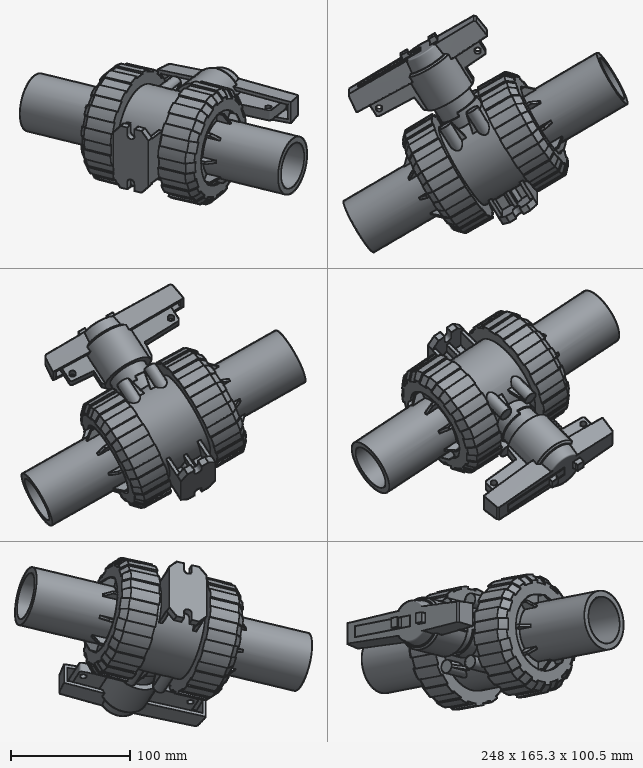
import cadquery as cq
import math


LENGTH = 248.0
PIPE_DIA = 50.0
BORE_DIA = 39.7
RIB_COUNT = 8
RIB_THICKNESS = 2.5
RIB_OUTER_R = 31.7
RIB_FOOT_X = 64.5
RIB_SHOULDER_X = 57.5

BODY_DIA = 76.1
NUT_INNER_X = 22.8
NUT_OUTER_X = 54.3
NUT_CHAMFER_X = 48.5
NUT_HOLE_DIA = 65.0
NUT_RECESS_DEPTH = 2.5
GRIP_COUNT = 16
GRIP_SLOT_WIDTH = 9.7
GRIP_SPAN = 100.5
GRIP_R = math.hypot(GRIP_SPAN, GRIP_SLOT_WIDTH) / 2
GRIP_CHAMFER_R = 50.0
GRIP_END_R = 44.5
SLOT_FLOOR_R = 48.5
SLOT_FLOOR_END_R = 42.2

STEM_DIA = 35.0
STEM_BASE_DIA = 38.5
STEM_BASE_Y = 42.5
STOP_Y = 46.0
BOSS_DIA = 11.5
BOSS_X = 13.1
BOSS_Z = 26.5
BOSS_TOP_Y = 43.6
GUSSET_THICKNESS = 2.5
GUSSET_FRONT_Z = 28.0
GUSSET_TOE_X = 3.2
GUSSET_TOE_Y = 25.8
GUSSET_ROOT_Y = 22.3

HUB_DIA = 44.6
HUB_BOTTOM_Y = 57.5
HUB_TOP_Y = 93.2
HUB_CHAMFER = 1.7
CAP_BOTTOM_R = 19.3
CAP_TOP_R = 17.5
CAP_FILLET = 1.2
HANDLE_TOP_Y = 104.7
BAR_LEFT_X = -54.8
BAR_RIGHT_X = 73.0
BAR_END_DRAFT = 1.5
BAR_END_LIP = 1.7
BAR_END_Y = 87.8
BAR_MID_Y = 85.8
BAR_END_TOP_HALF = 8.7
BAR_END_RIM_HALF = 10.0
BAR_MID_TOP_HALF = 11.2
BAR_MID_RIM_HALF = 13.0
BAR_WALL = 3.0
BAR_TOP_CORNER = 1.5

WING_THICKNESS = 9.5
WING_LEFT_X = -46.0
WING_RIGHT_X = 61.0
WING_TIP_Y = 74.2
WING_ROOT_Y = 72.7
WING_TOP_Y = 105.5
SKIRT_LEFT_X = -24.3
SKIRT_RIGHT_X = 24.3
SKIRT_SLANT = 1.5
WING_CORNER = 2.0
WING_HOLE_DIA = 5.5
WING_HOLE_Y = 79.9
WING_HOLE_INSET = 5.2

LUG_OUTER_X = 16.9
LUG_TOP_WIDTH = 6.5
LUG_FOOT_WIDTH = 8.0
LUG_TOP_Y = 109.5
LUG_SPLAY_Y = 107.5
LUG_THICKNESS = 8.5

FOOT_BOTTOM_Y = -55.8
FOOT_THICKNESS = 6.2
FOOT_HALF_X = 16.9
FOOT_HALF_Z = 28.8
FOOT_CORNER_X = 6.7
FOOT_CORNER_Z = 7.5
FOOT_SLOT_WIDTH = 7.0
FOOT_SLOT_DEPTH = 10.0
FOOT_WALL = 3.2
FOOT_WALL_HALF_Z = 20.5
FOOT_RIB_HALF_Z = 15.1
FOOT_PILLAR_DIA = 11.7


def rod_x(dia, x_start, x_end):
    return cq.Workplane("YZ").workplane(offset=x_start).circle(dia / 2).extrude(x_end - x_start)


def rod_y(dia, y_start, y_end, x=0.0, z=0.0):
    base = cq.Workplane("XZ", origin=(x, y_start, z))
    return base.circle(dia / 2).extrude(y_start - y_end)


def block(x_range, y_range, z_range):
    size = [high - low for low, high in (x_range, y_range, z_range)]
    corner = (x_range[0], y_range[0], z_range[0])
    return cq.Workplane("XY").box(*size, centered=False).translate(corner)


def revolve_x(points):
    """Turn an (x, radius) outline about the pipe axis."""
    return cq.Workplane("XY").polyline(points).close().revolve(360, (0, 0, 0), (1, 0, 0))


def plate_xy(points, thickness):
    """Plate with an XY outline, centred on Z = 0."""
    return cq.Workplane("XY").polyline(points).close().extrude(thickness / 2, both=True)


def nut_blank(inner_r, chamfer_r, outer_r):
    return revolve_x([
        (NUT_INNER_X, 0),
        (NUT_INNER_X, inner_r),
        (NUT_CHAMFER_X, chamfer_r),
        (NUT_OUTER_X, outer_r),
        (NUT_OUTER_X, 0),
    ])


def make_nut():
    """Union nut on the +X side with gripping teeth and a recessed end face."""
    teeth = nut_blank(GRIP_R, GRIP_CHAMFER_R, GRIP_END_R)
    slot = block(
        (NUT_INNER_X - 2.5, NUT_OUTER_X + 2.5),
        (-GRIP_SLOT_WIDTH / 2, GRIP_SLOT_WIDTH / 2),
        (BODY_DIA / 2, GRIP_R + 2.5),
    )
    for i in range(GRIP_COUNT):
        teeth = teeth.cut(slot.rotate((0, 0, 0), (1, 0, 0), i * 360 / GRIP_COUNT))
    nut = teeth.union(nut_blank(SLOT_FLOOR_R, SLOT_FLOOR_R, SLOT_FLOOR_END_R))
    return nut.cut(rod_x(NUT_HOLE_DIA, NUT_OUTER_X - NUT_RECESS_DEPTH, NUT_OUTER_X + 2.5))


def make_connector():
    """Pipe stub on the +X side with sloped ribs running into the nut."""
    stub = rod_x(PIPE_DIA, 0, LENGTH / 2)
    rib_root_r = (PIPE_DIA + BORE_DIA) / 4
    rib = plate_xy([
        (NUT_INNER_X, rib_root_r),
        (NUT_INNER_X, RIB_OUTER_R),
        (RIB_SHOULDER_X, RIB_OUTER_R),
        (RIB_FOOT_X, PIPE_DIA / 2),
        (RIB_FOOT_X, rib_root_r),
    ], RIB_THICKNESS)
    for i in range(RIB_COUNT):
        stub = stub.union(rib.rotate((0, 0, 0), (1, 0, 0), i * 360 / RIB_COUNT))
    return stub


def make_stem():
    """Stem with its stop collar and the four bosses of the actuator pad."""
    stem = rod_y(STEM_BASE_DIA, 0, STEM_BASE_Y)
    stem = stem.union(rod_y(STEM_DIA, 0, HUB_BOTTOM_Y))
    stop_disc = rod_y(STEM_BASE_DIA, STEM_BASE_Y, STOP_Y)
    for side in (0, -1):
        span = (side * STEM_BASE_DIA, (side + 1) * STEM_BASE_DIA)
        stem = stem.union(stop_disc.intersect(block(span, (0, STOP_Y), span)))
    for side_x in (-1, 1):
        gusset = plate_xy([
            (side_x * BOSS_X, GUSSET_ROOT_Y),
            (side_x * BOSS_X, BOSS_TOP_Y),
            (side_x * (BOSS_X - BOSS_DIA / 2), BOSS_TOP_Y),
            (side_x * GUSSET_TOE_X, GUSSET_TOE_Y),
            (side_x * GUSSET_TOE_X, GUSSET_ROOT_Y),
        ], GUSSET_THICKNESS)
        for side_z in (-1, 1):
            stem = stem.union(rod_y(BOSS_DIA, 0, BOSS_TOP_Y, side_x * BOSS_X, side_z * BOSS_Z))
            gusset_z = side_z * (GUSSET_FRONT_Z - GUSSET_THICKNESS / 2)
            stem = stem.union(gusset.translate((0, 0, gusset_z)))
    return stem


def bar_loft(x_left, x_right, top_y, inset, rim_drop):
    """Bar widening from both ends to the middle, with sides flaring to the rim.

    inset narrows both sides and rim_drop lowers the rim, for cutting the cavity.
    """
    def section(end):
        top_half = (BAR_END_TOP_HALF if end else BAR_MID_TOP_HALF) - inset
        rim_half = (BAR_END_RIM_HALF if end else BAR_MID_RIM_HALF) - inset
        rim_y = (BAR_END_Y if end else BAR_MID_Y) - rim_drop
        return [(top_y, -top_half), (top_y, top_half), (rim_y, rim_half), (rim_y, -rim_half)]

    def half(x_end):
        return (
            cq.Workplane("YZ").workplane(offset=x_end).polyline(section(True)).close()
            .workplane(offset=-x_end).polyline(section(False)).close()
            .loft(ruled=True)
        )

    return half(x_left).union(half(x_right))


def make_bar():
    """Hollow handle bar, open towards the valve body."""
    bar = bar_loft(BAR_LEFT_X, BAR_RIGHT_X, HANDLE_TOP_Y, 0, 0)
    corner_y = HANDLE_TOP_Y - BAR_TOP_CORNER
    top_left = BAR_LEFT_X + BAR_END_DRAFT
    top_right = BAR_RIGHT_X - BAR_END_DRAFT
    side_outline = plate_xy([
        (BAR_LEFT_X, BAR_END_Y + BAR_END_LIP),
        (top_left, corner_y),
        (top_left + BAR_TOP_CORNER, HANDLE_TOP_Y),
        (top_right - BAR_TOP_CORNER, HANDLE_TOP_Y),
        (top_right, corner_y),
        (BAR_RIGHT_X, BAR_END_Y + BAR_END_LIP),
        (BAR_RIGHT_X, HUB_BOTTOM_Y),
        (BAR_LEFT_X, HUB_BOTTOM_Y),
    ], HUB_DIA)
    cavity = bar_loft(
        BAR_LEFT_X + BAR_WALL,
        BAR_RIGHT_X - BAR_WALL,
        HANDLE_TOP_Y - BAR_WALL,
        BAR_WALL,
        BAR_WALL,
    )
    return bar.intersect(side_outline).cut(cavity)


def make_hub():
    """Handle hub with a tapered cap."""
    hub = rod_y(HUB_DIA, HUB_BOTTOM_Y, HUB_TOP_Y).faces(">Y").chamfer(HUB_CHAMFER)
    cap = (
        cq.Workplane("XY")
        .polyline([
            (0, HUB_TOP_Y),
            (CAP_BOTTOM_R, HUB_TOP_Y),
            (CAP_TOP_R, HANDLE_TOP_Y),
            (0, HANDLE_TOP_Y),
        ])
        .close()
        .revolve(360, (0, 0, 0), (0, 1, 0))
        .faces(">Y").edges().fillet(CAP_FILLET)
    )
    return hub.union(cap)


def make_wings():
    """Drilled plate that stiffens the handle and forms a skirt around the hub."""
    plate = plate_xy([
        (SKIRT_LEFT_X, HUB_BOTTOM_Y),
        (SKIRT_RIGHT_X, HUB_BOTTOM_Y),
        (SKIRT_RIGHT_X + SKIRT_SLANT, WING_ROOT_Y),
        (WING_RIGHT_X, WING_TIP_Y),
        (WING_RIGHT_X, WING_TOP_Y),
        (0, WING_TOP_Y),
        (0, HANDLE_TOP_Y),
        (WING_LEFT_X, HANDLE_TOP_Y),
        (WING_LEFT_X, WING_TIP_Y),
        (SKIRT_LEFT_X, WING_ROOT_Y),
    ], WING_THICKNESS)
    near = cq.selectors.BoxSelector
    for x in (WING_LEFT_X, WING_RIGHT_X):
        corner = near((x - 2.5, WING_TIP_Y - 2.5, -2.5), (x + 2.5, WING_TIP_Y + 2.5, 2.5))
        plate = plate.edges(corner).fillet(WING_CORNER)
    for x in (SKIRT_LEFT_X, SKIRT_RIGHT_X):
        corner = near((x - 2.5, HUB_BOTTOM_Y - 2.5, -2.5), (x + 2.5, HUB_BOTTOM_Y + 2.5, 2.5))
        plate = plate.edges(corner).chamfer(WING_CORNER)
    hole_places = [
        (WING_LEFT_X + WING_HOLE_INSET, WING_HOLE_Y),
        (WING_RIGHT_X - WING_HOLE_INSET, WING_HOLE_Y),
    ]
    holes = (
        cq.Workplane("XY").pushPoints(hole_places)
        .circle(WING_HOLE_DIA / 2).extrude(WING_THICKNESS, both=True)
    )
    return plate.cut(holes)


def make_lugs():
    """Pair of lugs on top of the handle, splayed at their inner feet."""
    lug = plate_xy([
        (LUG_OUTER_X, HANDLE_TOP_Y - BAR_WALL / 2),
        (LUG_OUTER_X, LUG_TOP_Y),
        (LUG_OUTER_X - LUG_TOP_WIDTH, LUG_TOP_Y),
        (LUG_OUTER_X - LUG_TOP_WIDTH, LUG_SPLAY_Y),
        (LUG_OUTER_X - LUG_FOOT_WIDTH, HANDLE_TOP_Y),
        (LUG_OUTER_X - LUG_FOOT_WIDTH, HANDLE_TOP_Y - BAR_WALL / 2),
    ], LUG_THICKNESS)
    return lug.union(lug.mirror("YZ"))


def make_foot():
    """Slotted mounting plate carried by two walls, crossed webs and a round pillar."""
    plate_top_y = FOOT_BOTTOM_Y + FOOT_THICKNESS
    inner_x = FOOT_HALF_X - FOOT_CORNER_X
    inner_z = FOOT_HALF_Z - FOOT_CORNER_Z
    foot = (
        cq.Workplane("XZ", origin=(0, plate_top_y, 0))
        .polyline([
            (FOOT_HALF_X, -inner_z),
            (FOOT_HALF_X, inner_z),
            (inner_x, FOOT_HALF_Z),
            (-inner_x, FOOT_HALF_Z),
            (-FOOT_HALF_X, inner_z),
            (-FOOT_HALF_X, -inner_z),
            (-inner_x, -FOOT_HALF_Z),
            (inner_x, -FOOT_HALF_Z),
        ])
        .close()
        .extrude(FOOT_THICKNESS)
    )
    slot_end_z = FOOT_HALF_Z - FOOT_SLOT_DEPTH + FOOT_SLOT_WIDTH / 2
    slot_half = FOOT_SLOT_WIDTH / 2
    y_range = (FOOT_BOTTOM_Y, plate_top_y)
    for side in (-1, 1):
        z_range = sorted((side * slot_end_z, side * (FOOT_HALF_Z + 2.5)))
        foot = foot.cut(block((-slot_half, slot_half), y_range, z_range))
        foot = foot.cut(rod_y(FOOT_SLOT_WIDTH, *y_range, z=side * slot_end_z))

    support_y = (plate_top_y, 0)
    wall_x = FOOT_HALF_X - FOOT_WALL
    wall = block((wall_x, FOOT_HALF_X), support_y, (-FOOT_WALL_HALF_Z, FOOT_WALL_HALF_Z))
    rib = block((-FOOT_WALL / 2, FOOT_WALL / 2), support_y, (-FOOT_RIB_HALF_Z, FOOT_RIB_HALF_Z))
    web = block((-wall_x, wall_x), support_y, (-FOOT_WALL / 2, FOOT_WALL / 2))
    pillar = rod_y(FOOT_PILLAR_DIA, *support_y)
    return foot.union(wall).union(wall.mirror("YZ")).union(web).union(rib).union(pillar)


connector_with_nut = make_connector().union(make_nut())
valve = rod_x(BODY_DIA, -NUT_CHAMFER_X, NUT_CHAMFER_X)
valve = valve.union(connector_with_nut).union(connector_with_nut.mirror("YZ"))
valve = valve.union(make_stem()).union(make_foot())
valve = valve.cut(rod_x(BORE_DIA, -LENGTH / 2, LENGTH / 2))

handle = make_bar().union(make_hub()).union(make_wings()).union(make_lugs())

result = valve.union(handle)